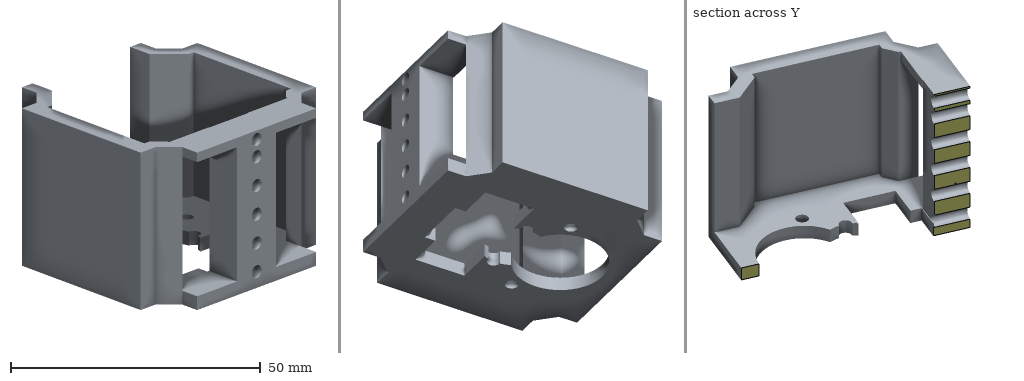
import cadquery as cq

half_size = 24.85
height = 34.0
arm_half_width = 16.85
bevel_reach = 20.7
floor_thickness = 3.0

cavity_half_width = 13.8
cavity_bevel_reach = 19.4
cavity_wall_y = 20.75

top_plate_thickness = 2.05
top_plate_front_x = arm_half_width
post_half_width = 5.5
post_front_x = 17.0

hole_diameter = 2.8
top_hole_z = 32.05
first_hole_z = 3.5
hole_pitch = 6.2
pitched_hole_count = 5

large_hole_diameter = 19.75
large_hole_x = -11.1
neck_diameter = 13.05
side_hole_x = -6.7
side_hole_y = 11.75
neck_hole_x = 0.55
neck_hole_y = 6.5
window_front_x = 3.1
window_rear_x = 14.4
window_notch_half_width = 6.0


def box_between(x_range, half_width, z_range):
    """Box symmetric about the XZ plane."""
    return (
        cq.Workplane("XY")
        .box(x_range[1] - x_range[0], 2 * half_width, z_range[1] - z_range[0], centered=(False, True, False))
        .translate((x_range[0], 0, z_range[0]))
    )


def mirrored_prism(upper_points, base_z, top_z):
    """Prism of an outline given on its +Y side and mirrored to -Y."""
    lower_points = [(x, -y) for x, y in reversed(upper_points)]
    return (
        cq.Workplane("XY")
        .workplane(offset=base_z)
        .polyline(upper_points + lower_points)
        .close()
        .extrude(top_z - base_z)
    )


def outer_body():
    right_side = [
        (arm_half_width, half_size),
        (arm_half_width, bevel_reach),
        (bevel_reach, arm_half_width),
        (half_size, arm_half_width),
    ]
    left_side = [(-x, y) for x, y in reversed(right_side)]
    return mirrored_prism(left_side + right_side, 0, height)


def main_cavity():
    bevel_end_x = cavity_half_width + cavity_bevel_reach - arm_half_width
    outline = [
        (-half_size, cavity_half_width),
        (-cavity_bevel_reach, cavity_half_width),
        (-cavity_half_width, cavity_bevel_reach),
        (-cavity_half_width, cavity_wall_y),
        (cavity_half_width, cavity_wall_y),
        (cavity_half_width, cavity_bevel_reach),
        (bevel_end_x, arm_half_width),
        (top_plate_front_x, arm_half_width),
    ]
    return mirrored_prism(outline, floor_thickness, height)


def rear_bay():
    bay_z = (floor_thickness, height - top_plate_thickness)
    bay = box_between((top_plate_front_x, half_size), arm_half_width, bay_z)
    post = box_between((post_front_x, half_size), post_half_width, bay_z)
    return bay.cut(post)


def post_face_relief():
    """Shallow full-height recess that levels the top plate with the post."""
    return box_between((top_plate_front_x, post_front_x), post_half_width, (floor_thickness, height))


def post_holes():
    heights = [first_hole_z + i * hole_pitch for i in range(pitched_hole_count)] + [top_hole_z]
    return (
        cq.Workplane("YZ")
        .workplane(offset=post_front_x)
        .pushPoints([(0, z) for z in heights])
        .circle(hole_diameter / 2)
        .extrude(half_size - post_front_x)
    )


def floor_cylinder(x, y, diameter):
    return cq.Workplane("XY").center(x, y).circle(diameter / 2).extrude(floor_thickness)


def floor_openings():
    floor_z = (0, floor_thickness)
    openings = box_between((window_front_x, window_rear_x), cavity_half_width, floor_z)
    notch = box_between((window_rear_x, top_plate_front_x), window_notch_half_width, floor_z)
    openings = openings.union(notch)
    openings = openings.union(floor_cylinder(large_hole_x, 0, large_hole_diameter))
    openings = openings.union(floor_cylinder(0, 0, neck_diameter))
    for side in (-1, 1):
        openings = openings.union(floor_cylinder(side_hole_x, side * side_hole_y, hole_diameter))
        openings = openings.union(floor_cylinder(neck_hole_x, side * neck_hole_y, hole_diameter))
    return openings


result = (
    outer_body()
    .cut(main_cavity())
    .cut(rear_bay())
    .cut(post_face_relief())
    .cut(post_holes())
    .cut(floor_openings())
)